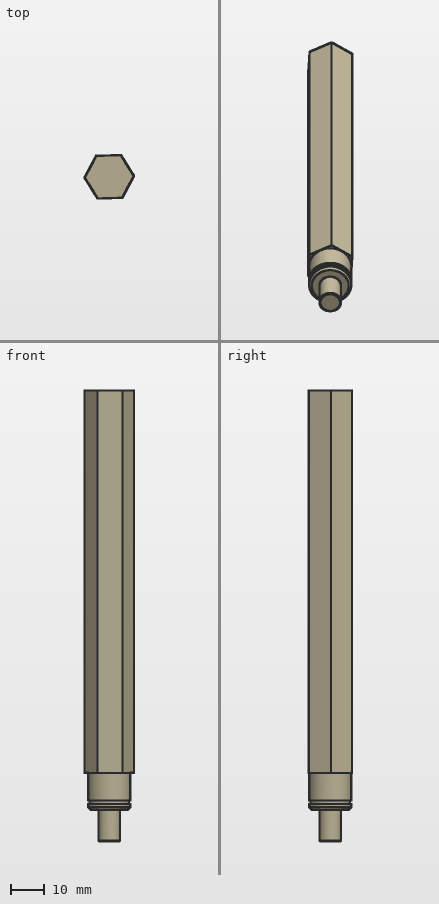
import cadquery as cq

total_length = 133.2
hex_across_corners = 14.6
hex_twist = 1.9
hex_bottom = 20.2

collar_radius = 6.3
collar_bottom = 9.3
collar_chamfer = 0.8

groove_bottom = 11.0
groove_width = 1.0
groove_depth = 0.4

pin_radius = 3.2
pin_chamfer = 0.3


def make_hex_body():
    body = (
        cq.Workplane("XY")
        .workplane(offset=hex_bottom)
        .polygon(6, hex_across_corners)
        .extrude(total_length - hex_bottom)
    )
    return body.rotate((0, 0, 0), (0, 0, 1), hex_twist)


def make_collar():
    collar = (
        cq.Workplane("XY")
        .workplane(offset=collar_bottom)
        .circle(collar_radius)
        .extrude(hex_bottom - collar_bottom)
        .faces("<Z")
        .chamfer(collar_chamfer)
    )
    groove = (
        cq.Workplane("XY")
        .workplane(offset=groove_bottom)
        .circle(collar_radius)
        .circle(collar_radius - groove_depth)
        .extrude(groove_width)
    )
    return collar.cut(groove)


def make_pin():
    return (
        cq.Workplane("XY")
        .circle(pin_radius)
        .extrude(collar_bottom)
        .faces("<Z")
        .chamfer(pin_chamfer)
    )


result = make_hex_body().union(make_collar()).union(make_pin())